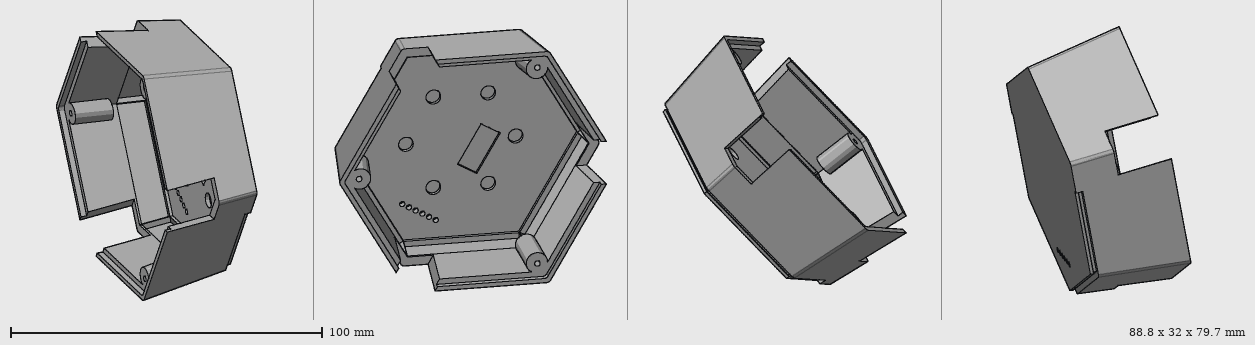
import cadquery as cq
import math


height = 32.0
rim_radius = 46.0
back_radius = 41.0
corner_fillet = 1.5
wall_thickness = 3.0
floor_thickness = 3.0
hex_angles = range(0, 360, 60)
cos30 = math.cos(math.radians(30))
radius_slope = (rim_radius - back_radius) / height
apothem_slope = radius_slope * cos30
wall_width = wall_thickness * math.hypot(1, apothem_slope)
wall_radius_step = wall_width / cos30

ledge_depth = 2.0
ledge_height = height - ledge_depth
lip_width = 1.5
lip_radius = rim_radius - lip_width / cos30

relief_base = floor_thickness + 1.0
relief_top = 13.6
relief_depth = 2.0
relief_end_gap = 0.1

notch_angles = (0, 120, 240)
notch_width = 14.7
notch_depth = 17.7
boss_angles = (60, 180, 300)
boss_radius = 3.5
boss_length = 12.5
boss_hole_diameter = 1.85
boss_hole_offset = 39.0
boss_hole_depth = 10.0

ridge_height = 1.1
groove_height = 1.1
ridge_inset = 1.35
groove_inset = 2.0
rebate_direction = 240
rebate_end = 10.0

magnet_diameter = 4.81
magnet_circle_radius = 18.0
magnet_depth = 1.5
window_length = 15.4
window_width = 7.3
window_depth = 1.2
window_offset = 6.85
window_direction = 330
pin_count = 6
pin_pitch = 2.54
pin_diameter = 1.7
pin_offset = 27.4


def outer_radius(level):
    return back_radius + radius_slope * level


def plane_at(level):
    return cq.Workplane("XZ", origin=(0, -level, 0))


def hexagon(radius, level):
    return plane_at(level).polygon(6, 2 * radius)


def tapered_hexagon(low, high, inset=0.0):
    """Hexagonal frustum parallel to the outer walls, moved in by a corner inset."""
    first = hexagon(outer_radius(low) - inset, low)
    return first.workplane(offset=high - low).polygon(6, 2 * (outer_radius(high) - inset)).loft(ruled=True)


def round_corners(body):
    return body.edges("not(<Y or >Y)").fillet(corner_fillet)


def bar(length, width, low, high, distance, angle):
    """Block with its length along the radial direction and its centre at a polar position."""
    block = plane_at(low).center(distance, 0).rect(length, width).extrude(high - low)
    return turn(block, angle)


def turn(body, angle):
    return body.rotate((0, 0, 0), (0, -1, 0), angle)


def hollow_shell():
    shell = round_corners(tapered_hexagon(0, height))
    shell = shell.cut(tapered_hexagon(floor_thickness, height, wall_radius_step))
    return shell.cut(round_corners(hexagon(lip_radius, ledge_height).extrude(ledge_depth)))


def inner_radius(level):
    return outer_radius(level) - wall_radius_step


def wall_reliefs():
    """Trapezoids sunk square into the slanted walls; their ends follow the corners of the shell."""
    base_half = inner_radius(relief_base) / 2 - relief_end_gap
    top_half = inner_radius(relief_top) / 2 - relief_end_gap
    slant_length = (relief_top - relief_base) * math.hypot(1, apothem_slope)
    wall_plane = cq.Plane(
        origin=(inner_radius(relief_base) * cos30, -relief_base, 0),
        xDir=(0, 0, 1),
        normal=(1, apothem_slope, 0),
    )
    outline = [(-base_half, 0), (base_half, 0), (top_half, slant_length), (-top_half, slant_length)]
    relief = cq.Workplane(wall_plane).polyline(outline).close().extrude(relief_depth)
    reliefs = cq.Workplane("XZ")
    for angle in hex_angles:
        reliefs = reliefs.add(turn(relief, angle + 30))
    return reliefs.combine()


def corner_notches():
    notches = cq.Workplane("XZ")
    for angle in notch_angles:
        notches = notches.add(
            bar(rim_radius, notch_width, height - notch_depth, height, rim_radius, angle))
    return notches.combine()


def bosses():
    """Cylinders from the ledge down that follow the slant of the corners, each with a screw hole."""
    centre = outer_radius(ledge_height) - wall_radius_step - boss_radius
    shift = radius_slope * boss_length
    boss = plane_at(ledge_height - boss_length).center(centre - shift, 0).circle(boss_radius)
    boss = boss.workplane(offset=boss_length).center(shift, 0).circle(boss_radius).loft()
    hole = plane_at(ledge_height).center(boss_hole_offset, 0).circle(boss_hole_diameter / 2)
    boss = boss.cut(hole.extrude(-boss_hole_depth))
    group = cq.Workplane("XZ")
    for angle in boss_angles:
        group = group.add(turn(boss, angle))
    return group.combine()


def rebate():
    ridge = tapered_hexagon(0, ridge_height, ridge_inset / cos30)
    groove = tapered_hexagon(ridge_height, ridge_height + groove_height, groove_inset / cos30)
    depth = ridge_height + groove_height
    span = 2 * rim_radius
    block = bar(span, span, 0, depth, span / 2 - rebate_end, rebate_direction)
    return block.cut(ridge).cut(groove)


def floor_openings():
    magnets = plane_at(floor_thickness).polarArray(magnet_circle_radius, 0, 360, len(hex_angles))
    magnets = magnets.circle(magnet_diameter / 2).extrude(-magnet_depth)
    window = bar(window_width, window_length, floor_thickness - window_depth, floor_thickness,
                 window_offset, window_direction)
    pins = plane_at(0).center(pin_offset, 0).rarray(1, pin_pitch, 1, pin_count)
    pins = pins.circle(pin_diameter / 2).extrude(floor_thickness)
    return magnets.add(window).add(turn(pins, rebate_direction)).combine()


result = (
    hollow_shell()
    .cut(wall_reliefs())
    .union(bosses())
    .cut(corner_notches())
    .cut(rebate())
    .cut(floor_openings())
)